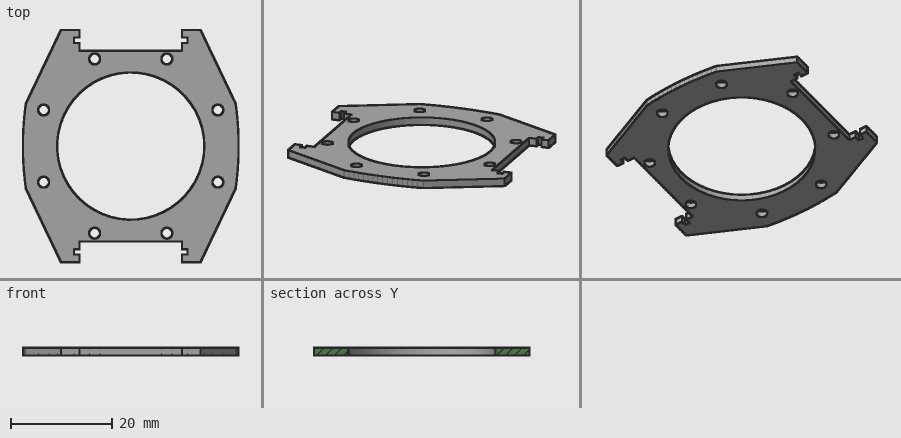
import cadquery as cq
import math

width = 42.61
length = 45.85
thickness = 1.6

bow_radius = 59.5
flat_angle = 1.0
flats_per_half_side = 8
bow_half_length = 8.4
tab_outer_x = 13.78

notch_half_width = 10.08
notch_depth = 4.1
slot_depth = 1.1
slot_width = 1.0

bore_diameter = 29.0
bolt_circle_radius = 18.6
bolt_hole_diameter = 2.1
bolt_hole_count = 8

half_width = width / 2
half_length = length / 2


def bow_x(y):
    """Distance of the bowed side from the plate's long axis at height y."""
    return half_width - bow_radius + math.sqrt(bow_radius**2 - y**2)


def bowed_side():
    """Corners of the right-hand side, from bottom to top."""
    steps = range(-flats_per_half_side, flats_per_half_side + 1)
    heights = [bow_radius * math.sin(math.radians(flat_angle * step)) for step in steps]
    heights = [-bow_half_length] + heights + [bow_half_length]
    return [(bow_x(y), y) for y in heights]


def make_blank():
    """Plate outline before the notches are cut."""
    right_side = [(tab_outer_x, -half_length)] + bowed_side() + [(tab_outer_x, half_length)]
    left_side = [(-x, -y) for x, y in right_side]
    blank = cq.Workplane("XY").polyline(right_side + left_side).close()
    return blank.extrude(thickness)


def make_notch(end):
    """Cutter for the notch and its two side slots at one end (+1 or -1 along Y)."""
    notch_center_y = end * (half_length - notch_depth / 2)
    notch = cq.Workplane("XY").center(0, notch_center_y).rect(2 * notch_half_width, notch_depth)
    slots = cq.Workplane("XY").center(0, notch_center_y)
    slots = slots.rect(2 * (notch_half_width + slot_depth), slot_width)
    return notch.extrude(thickness).union(slots.extrude(thickness))


def make_holes():
    """Cutter for the central bore and the ring of bolt holes."""
    half_pitch = 180 / bolt_hole_count
    bolt_holes = cq.Workplane("XY").polarArray(bolt_circle_radius, half_pitch, 360, bolt_hole_count)
    bolt_holes = bolt_holes.circle(bolt_hole_diameter / 2).extrude(thickness)
    return cq.Workplane("XY").circle(bore_diameter / 2).extrude(thickness).union(bolt_holes)


result = make_blank().cut(make_holes())
for end in (1, -1):
    result = result.cut(make_notch(end))